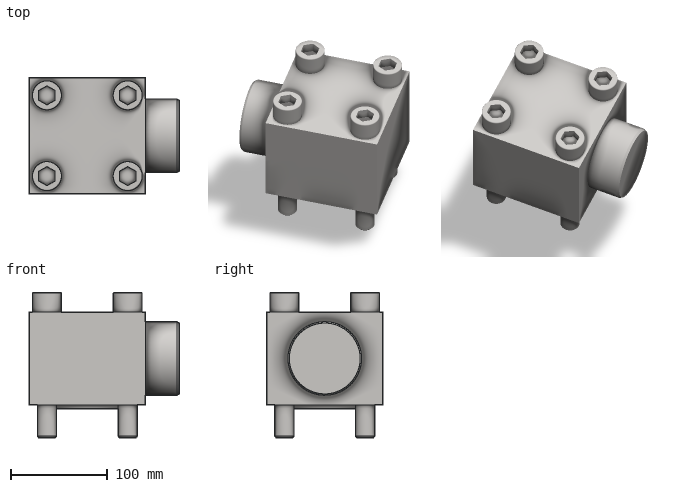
import cadquery as cq
import math

block_side = 120.0
block_height = 96.0

spigot_diameter = 92.0
spigot_height = 4.0

stub_diameter = 76.1
stub_length = 35.0
stub_axis_height = block_height / 2
stub_bevel_length = 2.5
stub_bevel_angle = 30.0
stub_bevel_inset = stub_bevel_length * math.tan(math.radians(stub_bevel_angle))

screw_circle_diameter = 118.0
screw_spacing = screw_circle_diameter / math.sqrt(2)
screw_diameter = 20.0
screw_protrusion = 34.0
screw_tip_length = 1.8
screw_tip_inset = 1.5
head_diameter = 30.0
head_height = 20.0
head_edge_radius = 1.0
socket_across_flats = 17.0
hexagon_half_angle = 30.0
socket_across_corners = socket_across_flats / math.cos(math.radians(hexagon_half_angle))
socket_depth = 10.0


def make_block():
    return cq.Workplane("XY").box(block_side, block_side, block_height, centered=(True, True, False))


def make_spigot():
    return cq.Workplane("XY").circle(spigot_diameter / 2).extrude(-spigot_height)


def make_stub():
    """Pipe stub from the block centre out through the +X face, bevelled at its free end."""
    return (
        cq.Workplane("YZ")
        .center(0, stub_axis_height)
        .circle(stub_diameter / 2)
        .extrude(block_side / 2 + stub_length)
        .faces(">X")
        .chamfer(stub_bevel_length, stub_bevel_inset)
    )


def make_screw():
    """Cap screw on the Z axis, its head seated on the top of the block."""
    shank = (
        cq.Workplane("XY")
        .workplane(offset=-screw_protrusion)
        .circle(screw_diameter / 2)
        .extrude(screw_protrusion + block_height)
        .faces("<Z")
        .chamfer(screw_tip_length, screw_tip_inset)
    )
    head = (
        cq.Workplane("XY")
        .workplane(offset=block_height)
        .circle(head_diameter / 2)
        .extrude(head_height)
        .faces(">Z")
        .fillet(head_edge_radius)
    )
    socket = (
        cq.Workplane("XY")
        .workplane(offset=block_height + head_height)
        .transformed(rotate=(0, 0, 90))
        .polygon(6, socket_across_corners)
        .extrude(-socket_depth)
    )
    return shank.union(head).cut(socket)


result = make_block().union(make_spigot()).union(make_stub())
for x_side in (-1, 1):
    for y_side in (-1, 1):
        screw_position = (x_side * screw_spacing / 2, y_side * screw_spacing / 2, 0)
        result = result.union(make_screw().translate(screw_position))